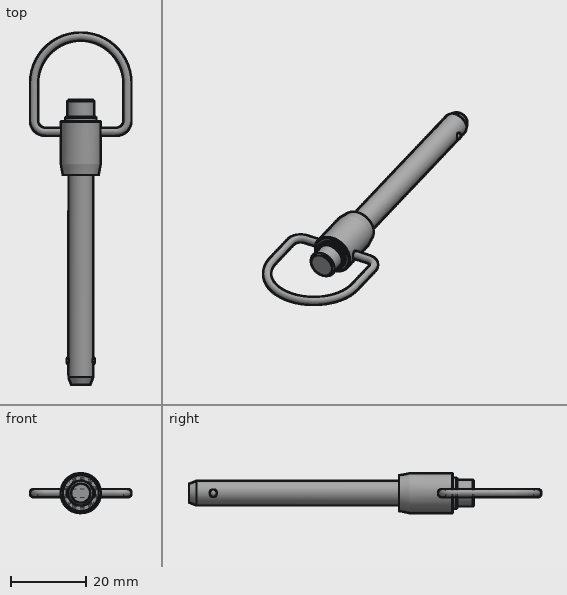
import cadquery as cq

total_length = 93.45
wire_radius = 1.1
ring_width = 27.0
ring_side_end = 70.1
ring_bend_radius = 3.0

shank_radius = 3.32
tip_radius = 2.5
tip_length = 2.1

body_radius = 5.3
body_front = 55.6
body_back = 70.0
body_front_radius = 4.8
body_taper_length = 2.9
body_back_chamfer = 0.3

neck_radius = 4.2
neck_chamfer = 0.4
neck_back = 71.1
button_radius = 3.6
button_back = 75.6
button_chamfer = 0.5

ball_radius = 1.1
ball_offset = 2.7
ball_y = 6.45

ring_radius = ring_width / 2 - wire_radius
arc_center_y = total_length - ring_width / 2
crossbar_y = ring_side_end - ring_bend_radius
crossbar_half = ring_radius - ring_bend_radius


def make_pin():
    """Shank, body, neck and push button as one revolved profile."""
    profile = [
        (0, 0),
        (tip_radius, 0),
        (shank_radius, tip_length),
        (shank_radius, body_front),
        (body_front_radius, body_front),
        (body_radius, body_front + body_taper_length),
        (body_radius, body_back - body_back_chamfer),
        (body_radius - body_back_chamfer, body_back),
        (neck_radius, body_back),
        (neck_radius, neck_back - neck_chamfer),
        (neck_radius - neck_chamfer, neck_back),
        (button_radius, neck_back),
        (button_radius, button_back - button_chamfer),
        (button_radius - button_chamfer, button_back),
        (0, button_back),
    ]
    return cq.Workplane("XY").polyline(profile).close().revolve(360, (0, 0), (0, 1))


def make_ring():
    """Closed D-shaped wire ring whose crossbar passes through the body."""
    path = (
        cq.Workplane("XY")
        .moveTo(0, crossbar_y)
        .lineTo(crossbar_half, crossbar_y)
        .radiusArc((ring_radius, ring_side_end), -ring_bend_radius)
        .lineTo(ring_radius, arc_center_y)
        .threePointArc((0, arc_center_y + ring_radius), (-ring_radius, arc_center_y))
        .lineTo(-ring_radius, ring_side_end)
        .radiusArc((-crossbar_half, crossbar_y), -ring_bend_radius)
        .close()
    )
    section = cq.Workplane("YZ").center(crossbar_y, 0).circle(wire_radius)
    return section.sweep(path)


result = make_pin().union(make_ring())

for side in (-1, 1):
    ball = cq.Workplane("XY").sphere(ball_radius).translate((side * ball_offset, ball_y, 0))
    result = result.union(ball)